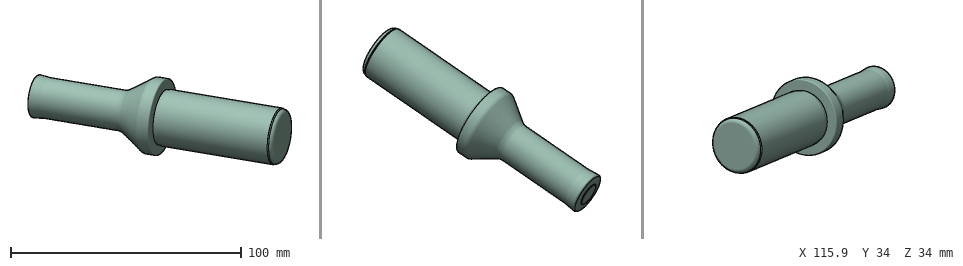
import cadquery as cq
import math

LENGTH = 115.9
COLLAR_BACK = 59.9
GAP_WIDTH = 0.2
SHANK_START = COLLAR_BACK + GAP_WIDTH

CORNER_X = 1.4
NOSE_RADIUS = 9.5
CORNER_BULGE = 0.1
FACE_PROFILE = [
    (0.17, 0.0),
    (0.03, 2.7),
    (0.0, 3.8),
    (0.02, 4.9),
    (0.2, 5.3),
    (0.34, 7.0),
    (0.49, 8.2),
    (0.64, 9.0),
]
NECK_RADIUS = 18.0 / 2
TAPER_PROFILE = [
    (3.9, 9.3),
    (5.0, 9.2),
    (6.0, NECK_RADIUS),
]

COLLAR_RADIUS = 34.0 / 2
CONE_START = 42.5
CONE_ANGLE = 33.5
NECK_FILLET = 5.0
COLLAR_FRONT_FILLET = 2.3
COLLAR_BACK_FILLET = 0.5
SPIGOT_RADIUS = 10.7

SHANK_RADIUS = 25.0 / 2
RELIEF_RADIUS = 24.5 / 2
RELIEF_END = 60.8
TAPER_LENGTH = 1.0
END_TAPER_LENGTH = 0.6
END_FILLET = 1.9

SELECT_MARGIN = 0.01


def revolve_about_x(profile):
    """Turn a closed profile, drawn as (x, radius), around the X axis."""
    return profile.revolve(360, (0, 0, 0), (1, 0, 0))


def circles_at(x):
    """Select the circular edges lying in the plane at x."""
    reach = COLLAR_RADIUS
    return cq.selectors.BoxSelector(
        (x - SELECT_MARGIN, -reach, -reach),
        (x + SELECT_MARGIN, reach, reach),
    )


def make_head():
    """Nose, neck and conical collar turned in one piece, with a short rear spigot."""
    cone_length = (COLLAR_RADIUS - NECK_RADIUS) / math.tan(math.radians(CONE_ANGLE))
    cone_end = CONE_START + cone_length
    collar_back_start = COLLAR_BACK - COLLAR_BACK_FILLET
    blank = revolve_about_x(
        cq.Workplane("XY")
        .polyline(FACE_PROFILE)
        .sagittaArc((CORNER_X, NOSE_RADIUS), CORNER_BULGE)
        .polyline(TAPER_PROFILE, includeCurrent=True)
        .lineTo(CONE_START, NECK_RADIUS)
        .lineTo(cone_end, COLLAR_RADIUS)
        .lineTo(collar_back_start, COLLAR_RADIUS)
        .radiusArc((COLLAR_BACK, COLLAR_RADIUS - COLLAR_BACK_FILLET), COLLAR_BACK_FILLET)
        .lineTo(COLLAR_BACK, SPIGOT_RADIUS)
        .lineTo(SHANK_START, SPIGOT_RADIUS)
        .lineTo(SHANK_START, 0)
        .close()
    )
    blended = blank.edges(circles_at(CONE_START)).fillet(NECK_FILLET)
    return blended.edges(circles_at(cone_end)).fillet(COLLAR_FRONT_FILLET)


def make_shank():
    """Cylindrical shank, relieved behind the collar and rounded at the far end."""
    end_taper_finish = LENGTH - END_FILLET
    return revolve_about_x(
        cq.Workplane("XY")
        .moveTo(SHANK_START, 0)
        .lineTo(SHANK_START, RELIEF_RADIUS)
        .lineTo(RELIEF_END, RELIEF_RADIUS)
        .lineTo(RELIEF_END + TAPER_LENGTH, SHANK_RADIUS)
        .lineTo(end_taper_finish - END_TAPER_LENGTH, SHANK_RADIUS)
        .lineTo(end_taper_finish, RELIEF_RADIUS)
        .radiusArc((LENGTH, RELIEF_RADIUS - END_FILLET), END_FILLET)
        .lineTo(LENGTH, 0)
        .close()
    )


head = make_head()
shank = make_shank()

result = cq.Compound.makeCompound([head.val(), shank.val()])